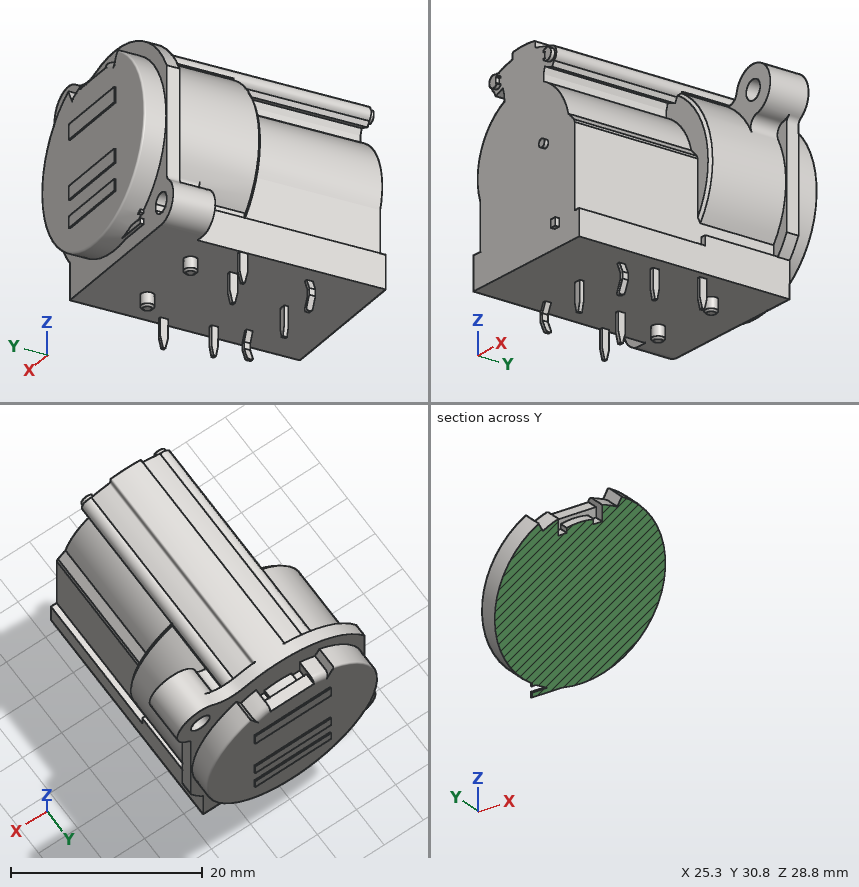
import cadquery as cq
import math


overall_length = 30.8
overall_height = 28.8

bump_front = 2.77
collar_front = 2.62
flange_back = -1.55
ear_back = -5.02
sleeve_back = -11.45
body_back = -27.53
pin_back = bump_front - overall_length

barrel_radius = 10.93
flange_radius = 12.5
flange_half_width = 11.08
sleeve_chamfer = 0.35
collar_round = 0.22

ear_offset = 9.88
ear_center = (ear_offset, ear_offset)
ear_angle = 45
upper_ear_radius = 2.95
lower_ear_radius = 2.6
ear_hole_diameter = 2.4
upper_neck_radius = 1.23
lower_neck_radius = 0.92
flange_neck_radius = 4.3
flange_side_radius = 0.92

bottom = -ear_offset - lower_ear_radius
pin_tip = ear_offset + upper_ear_radius - overall_height

rear_radius = 8.0
groove_radius = 11.7
crest_half_width = 1.97
crest_round = 0.22
edge_reach = 0.15
rod_radius = 1.05
rod_filler_back = -11.08
rod_filler_top = 9.58
rod_x = 4.6
rod_z = 9.82
rod_foot = (5.25, 9.08)
undercut = [(4.9, 8.37), (3.63, 8.85), (3.4, 8.07)]
wall_left = -7.57
wall_right = 8.8
base_left = -8.75
base_right = 9.55
base_left_top = -8.37
base_right_top = -9.25
shoulder_start = (7.7, 2.1)
shoulder_end = (8.65, 1.15)
shoulder_corner_z = 0.77

block_left = -8.05
block_top = -8.05
lip_top = -7.08
block_back = -11.02
slit_front = -8.85
slit_height = 0.2

notch_floor_radius = 9.75
notch_half_angle = 29.0
notch_edge_round = 0.75
latch_half_width = 2.77
latch_flat_z = 8.62
pocket_front = 1.23
pocket_floor_z = 7.4
button_half_width = 1.72
button_radius = 8.15

bump_half_width = 4.83
bump_spans = [(3.57, 5.4), (-3.5, -1.88), (-6.85, -5.45)]
tab_spans = [(-9.35, -9.02), (-10.68, -10.07)]
tab_left = -6.15
tab_depth = 0.4

stub_diameter = 1.0
stub_x = 3.73
rod_pin_diameter = 1.5
rod_pin_flat = 0.6
rod_pin_slot_depth = 0.25
rod_pin_slot_height = 0.75
square_x = 5.7
square_z = -9.7
square_width = 0.77
square_height = 1.0

peg_diameter = 1.5
peg_x = 4.6
peg_y = -6.5
peg_length = 1.57
peg_chamfer = 0.25
taper_start = -14.72
tip_width = 0.3
clip_y = -19.65
clip_width = 0.75
clip_thickness = 0.4
clip_ends_x = 6.25
clip_bend_x = 6.93
clip_bend_z = -14.07
clip_bend_height = 0.8
clip_end_round = 0.25
root_depth = 0.3
side_contacts = [
    ((-8.47, -10.55), 0.92, 0.4),
    ((8.4, -10.55), 0.92, 0.4),
    ((-3.97, -11.9), 0.92, 0.5),
    ((7.4, -16.0), 0.8, 0.5),
]
middle_contact = ((0, -20.3), 0.92, 0.5)


def slab(y_front):
    """Start a sketch in the XZ plane; extruding it goes toward -Y."""
    return cq.Workplane("XZ", origin=(0, y_front, 0))


def box(x_span, y_span, z_span):
    """Box between two values along each axis."""
    size = [span[1] - span[0] for span in (x_span, y_span, z_span)]
    return cq.Workplane("XY").box(*size, centered=False).translate((x_span[0], y_span[0], z_span[0]))


def on_circle(radius, degrees):
    """Point on a circle around the barrel axis."""
    angle = math.radians(degrees)
    return (radius * math.cos(angle), radius * math.sin(angle))


def toward(start, target, distance):
    """Point at a distance from start on the line to target."""
    scale = distance / math.dist(start, target)
    return (start[0] + (target[0] - start[0]) * scale, start[1] + (target[1] - start[1]) * scale)


def middle_of_arc(center, start, end):
    """Middle point of the short arc from start to end around center."""
    chord_middle = ((start[0] + end[0]) / 2, (start[1] + end[1]) / 2)
    return toward(center, chord_middle, math.dist(center, start))


def neck(ear_radius, base_radius, blend_radius, side, depth):
    """Half of the web from the axis to the upper ear; its arc is tangent to the base and ear circles."""
    span = math.hypot(*ear_center)
    to_base = base_radius + blend_radius
    to_ear = ear_radius + blend_radius
    swing = math.degrees(math.acos((to_base**2 + span**2 - to_ear**2) / (2 * to_base * span)))
    center = on_circle(to_base, ear_angle + side * swing)
    base_tangent = toward((0, 0), center, base_radius)
    ear_tangent = toward(ear_center, center, ear_radius)
    arc_middle = middle_of_arc(center, base_tangent, ear_tangent)
    web = slab(0).lineTo(*base_tangent).threePointArc(arc_middle, ear_tangent)
    return web.lineTo(*ear_center).close().extrude(depth)


def side_web(ear_radius):
    """Flange web below the upper ear, rounded where the flange side meets the ear."""
    center_x = flange_half_width + flange_side_radius
    reach = ear_radius + flange_side_radius
    center = (center_x, ear_offset - math.sqrt(reach**2 - (center_x - ear_offset) ** 2))
    side_tangent = (flange_half_width, center[1])
    ear_tangent = toward(center, ear_center, flange_side_radius)
    arc_middle = middle_of_arc(center, side_tangent, ear_tangent)
    web = slab(0).lineTo(flange_half_width, 0).lineTo(*side_tangent).threePointArc(arc_middle, ear_tangent)
    return web.lineTo(*ear_center).close().extrude(-flange_back)


def ear(ear_radius, neck_radius):
    """Upper-right ear with its necks and flange side web; the hole is cut later."""
    boss = slab(0).center(*ear_center).circle(ear_radius).extrude(-ear_back)
    for side in (1, -1):
        boss = boss.union(neck(ear_radius, barrel_radius, neck_radius, side, -ear_back))
    return boss.union(side_web(ear_radius))


def make_flange():
    """Flange plate with straight sides and bottom, and two ears on a diagonal."""
    disc = slab(0).circle(flange_radius).extrude(-flange_back)
    sides = (-flange_half_width, flange_half_width)
    plate = disc.intersect(box(sides, (flange_back, 0), (bottom, flange_radius)))
    upper_ear = ear(upper_ear_radius, upper_neck_radius)
    upper_ear = upper_ear.union(neck(upper_ear_radius, flange_radius, flange_neck_radius, 1, -flange_back))
    lower_ear = ear(lower_ear_radius, lower_neck_radius).rotate((0, 0, 0), (0, 1, 0), 180)
    foot = box((-ear_offset, wall_left), (ear_back, 0), (bottom, base_left_top))
    plate = plate.union(upper_ear).union(lower_ear).union(foot)
    holes = slab(0).pushPoints([ear_center, (-ear_offset, -ear_offset)])
    return plate.cut(holes.circle(ear_hole_diameter / 2).extrude(-ear_back))


def make_sleeve():
    """Round sleeve behind the flange, with a support block under it."""
    sleeve = slab(0).circle(barrel_radius).extrude(-sleeve_back).faces("<Y").chamfer(sleeve_chamfer)
    block = box((block_left, base_right), (block_back, 0), (bottom, block_top))
    block = block.union(box((block_left, wall_left), (block_back, 0), (block_top, lip_top)))
    block = block.cut(box((base_left, wall_left), (block_back, 0), (bottom, base_left_top)))
    slit_span = (base_left_top, base_left_top + slit_height)
    slit = box((block_left, wall_left), (block_back, slit_front), slit_span)
    return sleeve.union(block.cut(slit))


def make_body():
    """Long rear body: crest on top, round shoulders, flat walls and a wider base."""
    length = -body_back
    left_join = (wall_left, -math.sqrt(rear_radius**2 - wall_left**2))
    trunk = (
        slab(0)
        .moveTo(base_left, bottom)
        .lineTo(base_right, bottom)
        .lineTo(base_right, base_right_top)
        .lineTo(wall_right, base_right_top)
        .lineTo(wall_right, shoulder_corner_z)
        .lineTo(*shoulder_end)
        .lineTo(*shoulder_start)
        .threePointArc((0, rear_radius), left_join)
        .lineTo(wall_left, base_left_top)
        .lineTo(base_left, base_left_top)
        .close()
        .extrude(length)
    )
    groove_end = toward((0, 0), (rod_x, rod_z), groove_radius)
    head_right = [(rod_x, rod_z), rod_foot] + undercut + [(undercut[-1][0], 0)]
    head_left = [(-x, z) for x, z in reversed(head_right)]
    head = (
        slab(0)
        .moveTo(-groove_end[0], groove_end[1])
        .threePointArc((0, groove_radius), groove_end)
        .polyline(head_right + head_left, includeCurrent=True)
        .close()
        .extrude(length)
    )
    crest = slab(0).circle(flange_radius).extrude(length)
    crest_sides = (-crest_half_width, crest_half_width)
    crest = crest.intersect(box(crest_sides, (-length, 0), (0, flange_radius)))
    top = head.union(crest)
    for side in (-crest_half_width, crest_half_width):
        low_corner = (side - edge_reach, -length, rear_radius)
        high_corner = (side + edge_reach, 0, flange_radius)
        near_side = cq.selectors.BoxSelector(low_corner, high_corner)
        top = top.edges("|Y").edges(near_side).fillet(crest_round)
    left_rod = slab(0).center(-rod_x, rod_z).circle(rod_radius).extrude(length)
    filler_sides = (-rod_x - rod_radius, -rod_x)
    left_rod = left_rod.union(box(filler_sides, (rod_filler_back, 0), (undercut[0][1], rod_filler_top)))
    return trunk.union(top).union(left_rod).union(left_rod.mirror("YZ"))


def make_collar():
    """Mating collar with a notch at the top, a latch in the notch, and small raised details."""
    collar = slab(collar_front).circle(barrel_radius).extrude(collar_front)
    collar = collar.faces(">Y").edges().fillet(collar_round)
    far = 2 * barrel_radius
    wedge = slab(collar_front).lineTo(*on_circle(far, 90 - notch_half_angle))
    wedge = wedge.lineTo(*on_circle(far, 90 + notch_half_angle)).close().extrude(collar_front)
    collar = collar.cut(wedge)
    core = slab(collar_front).circle(notch_floor_radius).extrude(collar_front)
    core = core.faces(">Y").edges().fillet(notch_edge_round)
    collar = collar.union(core.intersect(wedge))

    latch_sides = (-latch_half_width, latch_half_width)
    collar = collar.cut(box(latch_sides, (0, collar_front), (latch_flat_z, barrel_radius)))
    collar = collar.cut(box(latch_sides, (0, pocket_front), (pocket_floor_z, barrel_radius)))
    button = slab(pocket_front).circle(button_radius).extrude(pocket_front)
    button_sides = (-button_half_width, button_half_width)
    collar = collar.union(button.intersect(box(button_sides, (0, pocket_front), (0, button_radius))))

    for span in bump_spans:
        collar = collar.union(box((-bump_half_width, bump_half_width), (0, bump_front), span))
    for span in tab_spans:
        collar = collar.union(box((tab_left, 0), (0, tab_depth), span))
    return collar


def make_rear_details():
    """Round stub, square stub and two slotted rod ends standing out of the rear face."""
    height = body_back - pin_back
    stub = slab(body_back).center(stub_x, 0).circle(stub_diameter / 2).extrude(height)
    square = slab(body_back).center(square_x, square_z).rect(square_width, square_height).extrude(height)
    details = stub.union(square)
    rod_pin = slab(body_back).circle(rod_pin_diameter / 2).extrude(height)
    half = rod_pin_diameter / 2
    rod_pin = rod_pin.cut(box((rod_pin_flat, half), (pin_back, body_back), (-half, half)))
    slot_left = rod_pin_flat - rod_pin_slot_depth
    half_slot = rod_pin_slot_height / 2
    rod_pin = rod_pin.cut(box((slot_left, half), (pin_back, body_back), (-half_slot, half_slot)))
    left_pin = rod_pin.translate((-rod_x, 0, rod_z))
    return details.union(left_pin).union(left_pin.mirror("YZ"))


def make_pegs():
    """Two round locating pegs under the base."""
    pegs = cq.Workplane("XY", origin=(0, peg_y, bottom - peg_length)).pushPoints([(-peg_x, 0), (peg_x, 0)])
    pegs = pegs.circle(peg_diameter / 2).extrude(peg_length + root_depth)
    return pegs.faces("<Z").edges().chamfer(peg_chamfer)


def blade(plane, position, width, thickness):
    """Flat solder contact with a tapered tip, drawn in the given plane."""
    half = width / 2
    half_tip = tip_width / 2
    right_side = [(half, bottom + root_depth), (half, taper_start), (half_tip, pin_tip)]
    left_side = [(-x, z) for x, z in reversed(right_side)]
    contact = cq.Workplane(plane).polyline(right_side + left_side).close().extrude(thickness / 2, both=True)
    return contact.translate((position[0], position[1], 0))


def make_clips():
    """Two bent retention clips, mirror images of each other."""
    half = clip_thickness / 2
    bend_top = clip_bend_z + clip_bend_height / 2
    bend_base = clip_bend_z - clip_bend_height / 2
    bend = [(clip_bend_x, bend_top), (clip_bend_x, bend_base)]
    path = [(clip_ends_x, bottom + root_depth)] + bend + [(clip_ends_x, pin_tip)]
    outer = [(x + half, z) for x, z in path]
    inner = [(x - half, z) for x, z in reversed(path)]
    clip = slab(clip_y).polyline(outer + inner).close().extrude(clip_width / 2, both=True)
    clip = clip.faces("<Z").edges("|X").fillet(clip_end_round)
    return clip.union(clip.mirror("YZ"))


def make_contacts():
    """Solder contacts: several set across X and one set across Y."""
    contacts = blade("XZ", *middle_contact)
    for contact in side_contacts:
        contacts = contacts.union(blade("YZ", *contact))
    return contacts


result = make_body().union(make_sleeve()).union(make_flange()).union(make_collar())
result = result.union(make_rear_details()).union(make_pegs()).union(make_contacts()).union(make_clips())